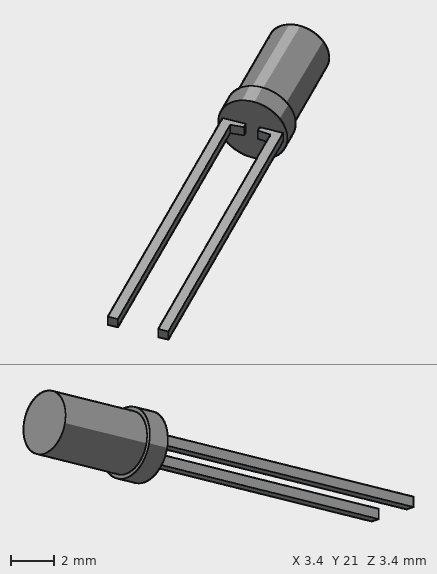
import cadquery as cq

total_length = 21.0
lead_length = 15.0
body_length = total_length - lead_length
body_diameter = 3.0
flange_diameter = 3.4
flange_thickness = 1.1

lead_thickness = 0.5
lead_outer_x = 1.5
lead_inner_x = lead_outer_x - lead_thickness
foot_tip_x = 0.34
foot_tip_height = 0.25
foot_root_height = 0.32


def cylinder_along_y(diameter, length):
    """Cylinder from Y = 0 towards +Y."""
    return cq.Workplane("XZ").circle(diameter / 2).extrude(-length)


def lead_with_foot():
    """Lead on the +X side, centred on Z = 0."""
    return (
        cq.Workplane("XY")
        .moveTo(foot_tip_x, 0)
        .lineTo(foot_tip_x, -foot_tip_height)
        .lineTo(lead_inner_x, -foot_root_height)
        .lineTo(lead_inner_x, -lead_length)
        .lineTo(lead_outer_x, -lead_length)
        .lineTo(lead_outer_x, 0)
        .close()
        .extrude(lead_thickness / 2, both=True)
    )


body = cylinder_along_y(body_diameter, body_length)
flange = cylinder_along_y(flange_diameter, flange_thickness)
right_lead = lead_with_foot()
left_lead = right_lead.mirror("YZ")

result = body.union(flange).union(right_lead).union(left_lead)